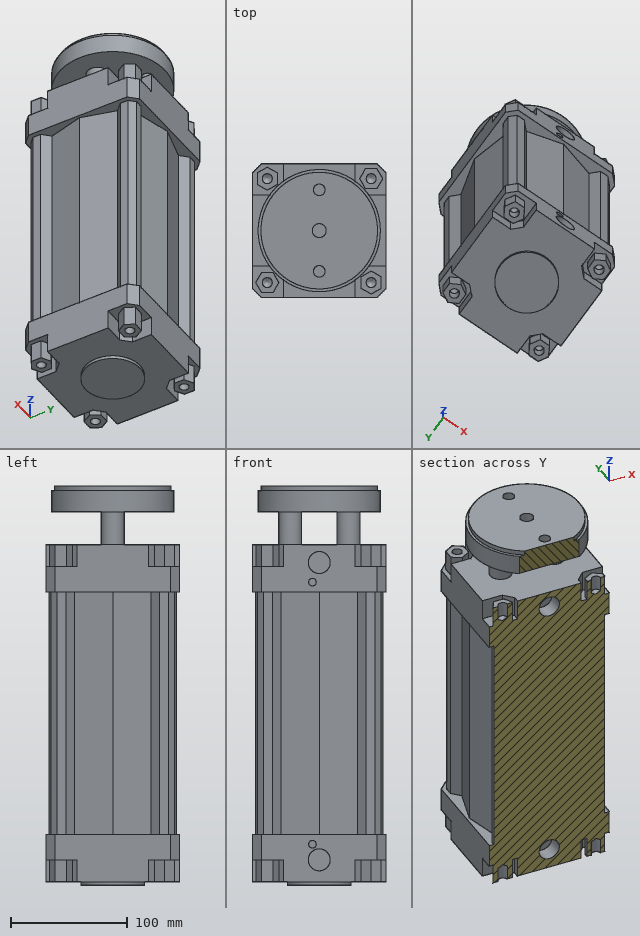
import cadquery as cq
import math

cap_width = 115.0
cap_height = 40.8
cap_corner_chamfer = 8.0
notch_height = 19.0
notch_wall_offset = 30.5
notch_inner_chamfer = cap_corner_chamfer

nut_offset = 44.5
nut_across_flats = 17.0
socket_diameter = 8.5
socket_depth = 13.7
drill_tip_angle = 118.0

ridge_height = 55.0
tube_half_width = 53.0
tube_corner_chamfer = 5.5
flat_inner_edge = 40.0
valley_edge = 33.0

port_diameter = 19.0
port_depth = 27.5
lower_port_rise = 19.0
upper_port_drop = 15.5
pilot_diameter = 6.5
pilot_depth = 1.7
pilot_x = -6.0
pilot_inset = 8.5

spigot_diameter = 55.0
spigot_height = 3.0

total_height = 343.0
plate_diameter = 105.0
plate_thickness = 22.3
plate_step_diameter = 100.0
plate_step_height = 4.0
rod_diameter = 20.0
rod_offset = 25.0
center_hole_diameter = 12.0
side_hole_diameter = 10.0
side_hole_offset = 35.0

lower_cap_bottom = spigot_height
lower_cap_top = lower_cap_bottom + cap_height
upper_cap_top = 292.5
upper_cap_bottom = upper_cap_top - cap_height
plate_bottom = total_height - plate_thickness
plate_shoulder = total_height - plate_step_height


def cylinder(diameter, bottom, top, x=0.0, y=0.0):
    """Vertical cylinder between two levels."""
    return cq.Workplane("XY", origin=(x, y, bottom)).circle(diameter / 2).extrude(top - bottom)


def corner_notch():
    """Cutter for the (+X, +Y) corner notch, rising from Z = 0."""
    inner = notch_wall_offset
    eased = notch_wall_offset + notch_inner_chamfer
    outer = cap_width
    outline = [(eased, inner), (outer, inner), (outer, outer), (inner, outer), (inner, eased)]
    return cq.Workplane("XY").polyline(outline).close().extrude(notch_height)


def nut():
    """Hexagonal nut of the (+X, +Y) corner, rising from Z = 0, with a drilled socket."""
    across_corners = nut_across_flats / math.cos(math.radians(30))
    hexagon = cq.Workplane("XY").polygon(6, across_corners).extrude(notch_height)
    radius = socket_diameter / 2
    shoulder = notch_height - socket_depth
    tip = shoulder - radius / math.tan(math.radians(drill_tip_angle / 2))
    half_section = [(0, tip), (radius, shoulder), (radius, notch_height), (0, notch_height)]
    socket = cq.Workplane("XZ").polyline(half_section).close().revolve(360, (0, 0), (0, 1))
    return hexagon.cut(socket).translate((nut_offset, nut_offset, 0))


def end_cap():
    """Cap with its inner face at Z = 0 and its notched outer face at the top."""
    cap = cq.Workplane("XY").rect(cap_width, cap_width).extrude(cap_height)
    cap = cap.edges("|Z").chamfer(cap_corner_chamfer)
    ledge = cap_height - notch_height
    for quarter in range(4):
        place = (cq.Vector(0, 0, 0), cq.Vector(0, 0, 1), 90 * quarter)
        cap = cap.cut(corner_notch().rotate(*place).translate((0, 0, ledge)))
        cap = cap.union(nut().rotate(*place).translate((0, 0, ledge)))
    return cap


def tube():
    """Profiled tube: one side's outline repeated around the four sides."""
    valley_height = tube_half_width - (flat_inner_edge - valley_edge)
    flat_outer_edge = tube_half_width - tube_corner_chamfer
    side = [
        (tube_half_width, -flat_outer_edge),
        (tube_half_width, -flat_inner_edge),
        (valley_height, -valley_edge),
        (ridge_height, 0),
        (valley_height, valley_edge),
        (tube_half_width, flat_inner_edge),
        (tube_half_width, flat_outer_edge),
    ]
    outline = []
    for quarter in range(4):
        outline += side
        side = [(-y, x) for x, y in side]
    profile = cq.Workplane("XY", origin=(0, 0, lower_cap_top)).polyline(outline).close()
    return profile.extrude(upper_cap_bottom - lower_cap_top)


def front_hole(diameter, depth, x, z):
    """Cutter for a flat-bottomed hole in the -Y face of a cap."""
    return cq.Workplane("XZ", origin=(x, -cap_width / 2, z)).circle(diameter / 2).extrude(-depth)


def make_cylinder_body():
    upper_cap = end_cap().translate((0, 0, upper_cap_bottom))
    lower_cap = end_cap().mirror("XY").translate((0, 0, lower_cap_top))
    body = tube().union(upper_cap).union(lower_cap)
    body = body.union(cylinder(spigot_diameter, 0, lower_cap_bottom))
    for port_z in (lower_cap_bottom + lower_port_rise, upper_cap_top - upper_port_drop):
        body = body.cut(front_hole(port_diameter, port_depth, 0, port_z))
    for pilot_z in (lower_cap_top - pilot_inset, upper_cap_bottom + pilot_inset):
        body = body.cut(front_hole(pilot_diameter, pilot_depth, pilot_x, pilot_z))
    return body


def make_moving_plate():
    """Stepped plate with two rods that end on the upper cap."""
    plate = cylinder(plate_diameter, plate_bottom, plate_shoulder)
    plate = plate.union(cylinder(plate_step_diameter, plate_shoulder, total_height))
    plate = plate.cut(cylinder(center_hole_diameter, plate_bottom, total_height))
    for side in (-1, 1):
        hole_y = side * side_hole_offset
        plate = plate.cut(cylinder(side_hole_diameter, plate_bottom, total_height, y=hole_y))
        plate = plate.union(cylinder(rod_diameter, upper_cap_top, plate_bottom, x=side * rod_offset))
    return plate


cylinder_body = make_cylinder_body()
moving_plate = make_moving_plate()

result = cq.Compound.makeCompound([cylinder_body.val(), moving_plate.val()])